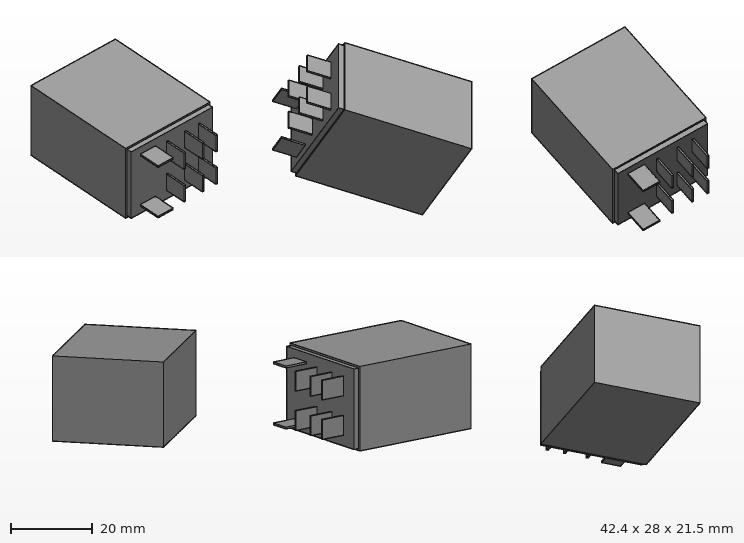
import cadquery as cq

total_length = 42.4
housing_width = 28.0
housing_height = 21.5

base_thickness = 1.45
base_inset = 0.5

blade_length = 6.45
blade_width = 5.0
blade_thickness = 0.5
blade_inner_z = 2.5
upright_blade_y = (9.05, 4.5, -1.55)
flat_blade_y = -7.95

base_end_x = total_length - blade_length
housing_length = base_end_x - base_thickness
blade_outer_z = blade_inner_z + blade_width


def block(start_x, length, width, height, center_y=0.0, center_z=0.0):
    """Box running along +X from start_x, centred at the given Y and Z."""
    return (
        cq.Workplane("XY")
        .box(length, width, height, centered=(False, True, True))
        .translate((start_x, center_y, center_z))
    )


housing = block(0, housing_length, housing_width, housing_height)
base = block(
    housing_length,
    base_thickness,
    housing_width - 2 * base_inset,
    housing_height - 2 * base_inset,
)
result = housing.union(base)

upright_center_z = (blade_inner_z + blade_outer_z) / 2
flat_center_z = blade_outer_z + blade_thickness / 2
for side in (1, -1):
    for y in upright_blade_y:
        upright_blade = block(
            base_end_x, blade_length, blade_thickness, blade_width, y, side * upright_center_z
        )
        result = result.union(upright_blade)
    flat_blade = block(
        base_end_x, blade_length, blade_width, blade_thickness, flat_blade_y, side * flat_center_z
    )
    result = result.union(flat_blade)